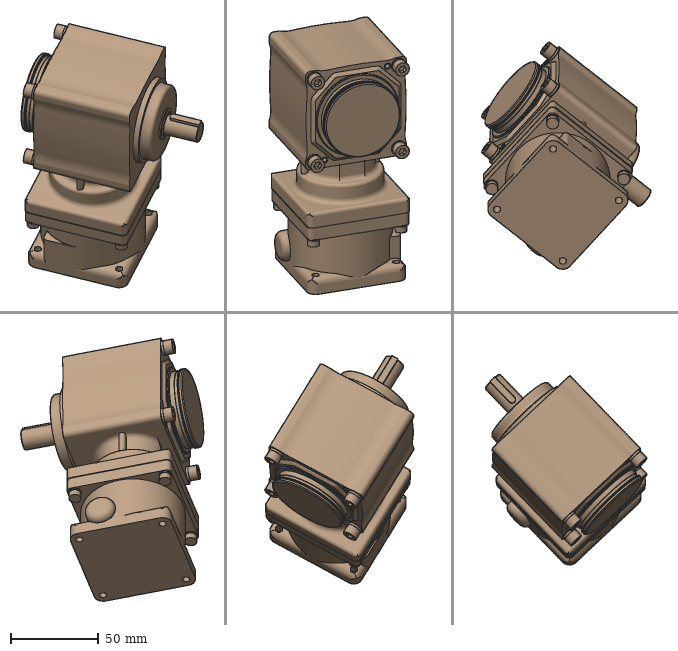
import cadquery as cq
import math


BASE_SIDE = 60.0
BASE_TOP = 10.0
BASE_CORNER_R = 5.4
BASE_EDGE_R = 4.2
BARREL_R = BASE_SIDE / 2
ADAPTER_FLANGE_SIDE = 62.0
ADAPTER_FLANGE_BOTTOM = 35.0
FLANGE_JOINT_Z = 42.8
FLANGE_CORNER_R = 3.0
MOTOR_HOLE_D = 4.0
MOTOR_HOLE_PITCH = 49.5
FLANGE_SCREW_R = 3.5
FLANGE_SCREW_PITCH = 53.7
FLANGE_SCREW_LENGTH = 4.7
FLANGE_WASHER_R = 3.6
FLANGE_WASHER_T = 1.0
PAD_LEFT_X = -19.9
PAD_RIGHT_X = 0.0
PAD_TOP = 23.8
PAD_CORNER_R = 2.1
PLUG_X = 10.7
PLUG_Z = 14.0
PLUG_R = 8.9
PLUG_EDGE_R = 3.9
PLUG_END_Y = 34.0

GEAR_FLANGE_X = ADAPTER_FLANGE_SIDE
GEAR_FLANGE_Y = 62.8
GEAR_FLANGE_TOP = 51.7
GEAR_FLANGE_EDGE_R = 2.0
RING_R = 25.0
RING_TOP = 63.4
RING_FOOT_R = 3.0
RING_EDGE_R = 2.0
NECK_R = 20.2
NECK_FILLET_R = RING_R - RING_EDGE_R - NECK_R
NECK_FLAT_X = -18.6
RIB_R = 2.0
RIB_REACH = 23.9

HOUSING_HALF = 31.0
TOTAL_HEIGHT = 139.0
SHAFT_Z = TOTAL_HEIGHT - HOUSING_HALF
HOUSING_LEFT_X = -25.2
HOUSING_RIGHT_X = 33.1
END_PLATE_T = 6.3
CASE_LEFT_X = HOUSING_LEFT_X + END_PLATE_T
HOUSING_CORNER_R = 2.9
RIDGE_START = 25.2
RIDGE_END = 23.6
RIDGE_END_DROP = 0.3
HOLLOW_MID = 19.5
HOLLOW_DROP = 1.0
TOP_HOLLOW_MID = 20.8
TOP_HOLLOW_END = 17.8
BULGE_START = 15.8
BULGE_START_DROP = 0.8
BULGE_DROP = 0.3
BOTTOM_TURN = 0
TOP_TURN = 2
NECK_EMBED = 4.2
NECK_EMBED_Z = SHAFT_Z - HOUSING_HALF + NECK_EMBED

OCTAGON_SIDE = 55.3
OCTAGON_CUT = 13.6
OCTAGON_CORNER_R = 4.2
OCTAGON_T = 2.0
OCTAGON_SLOPE = 2.1
COVER_LEFT_X = -35.9
COVER_RIM_R = 23.1
COVER_GROOVE_R = 22.5
COVER_NECK_R = 22.0
COVER_CHAMFER = 0.7
COVER_RIM_T = 2.1
COVER_LIP_T = 0.4
COVER_NECK_T = 2.0
COVER_DISC_R = 25.5
COVER_DISC_CHAMFER = 0.5
COVER_DISC_X = -28.1
HOUSING_SCREW_PITCH = 52.0
HOUSING_SCREW_R = 4.2
HOUSING_SCREW_X = -31.7
HOUSING_WASHER_R = 4.3
HOUSING_WASHER_T = 1.4
SOCKET_FLATS = 4.0
SOCKET_DEPTH = 2.8
PIN_HOLE_R = 1.4
PIN_HOLE_MOUTH = 0.5
PIN_HOLE_DEPTH = 4.2
PIN_HOLE_Y = 19.3
PIN_HOLE_Z = 26.4

PILOT_R = 25.0
PILOT_END_X = 36.4
NOSE_ROOT_R = 22.8
NOSE_R = 22.4
NOSE_TAPER_X = 38.2
NOSE_END_X = 43.4
NOSE_EDGE_R = 2.0
SEAL_R = 9.2
SEAL_END_X = 44.2
COLLAR_R = 7.2
COLLAR_END_X = 45.0
SHAFT_R = 6.0
SHAFT_END_X = 65.2
SHAFT_CHAMFER = 0.4
KEY_WIDTH = 4.0
KEY_START_X = 46.8
KEY_TOP = 7.5


def rounded_plate(x_size, y_size, bottom, top, corner_r, edge_r):
    """Plate with rounded top edges, trimmed by rounded vertical corners."""
    block = cq.Workplane("XY", origin=(0, 0, bottom)).box(
        x_size, y_size, top - bottom, centered=(True, True, False))
    rounded_corners = block.edges("|Z").fillet(corner_r)
    return block.faces(">Z").edges().fillet(edge_r).intersect(rounded_corners)


def cylinder_z(x, y, radius, bottom, top):
    return cq.Workplane("XY", origin=(x, y, bottom)).circle(radius).extrude(top - bottom)


def cylinder_x(y, z, radius, left, right):
    return cq.Workplane("YZ", origin=(left, y, z)).circle(radius).extrude(right - left)


def square_pattern(pitch):
    half = pitch / 2
    return [(sx * half, sy * half) for sx in (-1, 1) for sy in (-1, 1)]


def arc_mid(center_x, center_y, radius, angle):
    """Point on a circle at the given angle in degrees."""
    a = math.radians(angle)
    return (center_x + radius * math.cos(a), center_y + radius * math.sin(a))



def connector_pad():
    """Raised pad on the -Y side, level with the base side."""
    pad = cq.Workplane("XY").box(
        PAD_RIGHT_X - PAD_LEFT_X, BASE_SIDE / 2, PAD_TOP, centered=False)
    pad = pad.translate((PAD_LEFT_X, -BASE_SIDE / 2, 0))
    return pad.edges("|Z and <X and <Y").fillet(PAD_CORNER_R)


def cable_plug():
    """Domed round plug on the +Y side."""
    plug = cq.Workplane("XZ", origin=(PLUG_X, PLUG_END_Y, PLUG_Z)).circle(PLUG_R).extrude(PLUG_END_Y)
    return plug.faces(">Y").edges().fillet(PLUG_EDGE_R)


def make_adapter():
    body = rounded_plate(BASE_SIDE, BASE_SIDE, 0, BASE_TOP, BASE_CORNER_R, BASE_EDGE_R)
    for x, y in square_pattern(MOTOR_HOLE_PITCH):
        body = body.cut(cylinder_z(x, y, MOTOR_HOLE_D / 2, 0, BASE_TOP))
    body = body.union(cylinder_z(0, 0, BARREL_R, 0, ADAPTER_FLANGE_BOTTOM))
    body = body.union(connector_pad()).union(cable_plug())

    flange = cq.Workplane("XY", origin=(0, 0, ADAPTER_FLANGE_BOTTOM)).box(
        ADAPTER_FLANGE_SIDE, ADAPTER_FLANGE_SIDE, FLANGE_JOINT_Z - ADAPTER_FLANGE_BOTTOM,
        centered=(True, True, False))
    body = body.union(flange.edges("|Z").fillet(FLANGE_CORNER_R))

    washer_bottom = ADAPTER_FLANGE_BOTTOM - FLANGE_WASHER_T
    screw_bottom = ADAPTER_FLANGE_BOTTOM - FLANGE_SCREW_LENGTH
    for x, y in square_pattern(FLANGE_SCREW_PITCH):
        body = body.union(cylinder_z(x, y, FLANGE_WASHER_R, washer_bottom, ADAPTER_FLANGE_BOTTOM))
        body = body.union(cylinder_z(x, y, FLANGE_SCREW_R, screw_bottom, washer_bottom))
    return body



def neck():
    """Turned ring and neck with a flat on the -X side and three ribs."""
    foot_center = (RING_R + RING_FOOT_R, GEAR_FLANGE_TOP + RING_FOOT_R)
    edge_center = (RING_R - RING_EDGE_R, RING_TOP - RING_EDGE_R)
    low_center = (NECK_R + NECK_FILLET_R, RING_TOP + NECK_FILLET_R)
    housing_bottom = SHAFT_Z - HOUSING_HALF
    high_center = (NECK_R + NECK_FILLET_R, housing_bottom - NECK_FILLET_R)
    turned = (
        cq.Workplane("XZ")
        .moveTo(0, GEAR_FLANGE_TOP)
        .lineTo(foot_center[0], GEAR_FLANGE_TOP)
        .threePointArc(arc_mid(*foot_center, RING_FOOT_R, 225), (RING_R, foot_center[1]))
        .lineTo(RING_R, edge_center[1])
        .threePointArc(arc_mid(*edge_center, RING_EDGE_R, 45), (edge_center[0], RING_TOP))
        .threePointArc(arc_mid(*low_center, NECK_FILLET_R, 225), (NECK_R, low_center[1]))
        .lineTo(NECK_R, high_center[1])
        .threePointArc(arc_mid(*high_center, NECK_FILLET_R, 135), (high_center[0], housing_bottom))
        .lineTo(high_center[0], NECK_EMBED_Z)
        .lineTo(0, NECK_EMBED_Z)
        .close()
        .revolve(360, (0, 0, 0), (0, 1, 0))
    )

    flat_center = (NECK_FLAT_X - NECK_FILLET_R, RING_TOP + NECK_FILLET_R)
    flat_cut = (
        cq.Workplane("XZ")
        .moveTo(NECK_FLAT_X, NECK_EMBED_Z)
        .lineTo(NECK_FLAT_X, flat_center[1])
        .threePointArc(arc_mid(*flat_center, NECK_FILLET_R, -45), (flat_center[0], RING_TOP))
        .lineTo(-RING_R, RING_TOP)
        .lineTo(-RING_R, NECK_EMBED_Z)
        .close()
        .extrude(RING_R, both=True)
    )
    turned = turned.cut(flat_cut)

    rib_center = RIB_REACH - RIB_R
    rib_bottom = RING_TOP - RING_EDGE_R
    rib = cylinder_z(rib_center, 0, RIB_R, rib_bottom, NECK_EMBED_Z)
    web = cq.Workplane("XY", origin=(0, 0, rib_bottom)).box(
        rib_center, 2 * RIB_R, NECK_EMBED_Z - rib_bottom, centered=(False, True, False))
    rib = rib.union(web)
    for angle in (-90, 0, 90):
        turned = turned.union(rib.rotate((0, 0, 0), (0, 0, 1), angle))
    return turned


def side_point(turn, along, drop):
    """Point on one housing side: distance along the side and drop below its corner ridges."""
    angle = math.radians(90 * turn)
    out = HOUSING_HALF - drop
    return (along * math.cos(angle) + out * math.sin(angle),
            along * math.sin(angle) - out * math.cos(angle))


def curved_side(outline, turn):
    """Ridge, hollow, middle bulge, hollow and ridge along one side of the housing."""
    def at(along, drop):
        return side_point(turn, along, drop)

    ridge_mid = (RIDGE_START + RIDGE_END) / 2
    ridge_mid_drop = RIDGE_END_DROP / 4
    has_strip = turn == TOP_TURN
    hollow_mid = TOP_HOLLOW_MID if has_strip else HOLLOW_MID
    hollow_end = TOP_HOLLOW_END if has_strip else BULGE_START
    hollow_end_drop = HOLLOW_DROP if has_strip else BULGE_START_DROP
    hollow_mid_drop = BULGE_START_DROP if has_strip else HOLLOW_DROP

    outline = (
        outline.lineTo(*at(-RIDGE_START, 0))
        .threePointArc(at(-ridge_mid, ridge_mid_drop), at(-RIDGE_END, RIDGE_END_DROP))
        .threePointArc(at(-hollow_mid, hollow_mid_drop), at(-hollow_end, hollow_end_drop))
    )
    if has_strip:
        outline = outline.lineTo(*at(-BULGE_START, BULGE_START_DROP))
    outline = outline.threePointArc(at(0, BULGE_DROP), at(BULGE_START, BULGE_START_DROP))
    if has_strip:
        outline = outline.lineTo(*at(hollow_end, hollow_end_drop))
    return (
        outline.threePointArc(at(hollow_mid, hollow_mid_drop), at(RIDGE_END, RIDGE_END_DROP))
        .threePointArc(at(ridge_mid, ridge_mid_drop), at(RIDGE_START, 0))
    )


def housing_slice(left, right):
    """Length of the housing section: three curved sides, a flat bottom and round corners."""
    flat_end = HOUSING_HALF - HOUSING_CORNER_R
    corner_drop = HOUSING_CORNER_R * (1 - math.sqrt(0.5))
    outline = cq.Workplane("YZ", origin=(left, 0, SHAFT_Z)).moveTo(-flat_end, -HOUSING_HALF)
    for turn in range(4):
        if turn != BOTTOM_TURN:
            outline = curved_side(outline, turn)
        outline = outline.lineTo(*side_point(turn, flat_end, 0))
        outline = outline.threePointArc(
            side_point(turn, HOUSING_HALF - corner_drop, corner_drop),
            side_point(turn, HOUSING_HALF, HOUSING_CORNER_R))
    return outline.close().extrude(right - left)


def octagon_pad():
    """Octagonal pad with sloped sides on the -X face."""
    left = HOUSING_LEFT_X - OCTAGON_T
    pad = cq.Workplane("YZ", origin=(left, 0, SHAFT_Z)).rect(OCTAGON_SIDE, OCTAGON_SIDE)
    pad = pad.extrude(2 * OCTAGON_T)
    pad = pad.edges("|X").chamfer(OCTAGON_CUT)
    pad = pad.edges("|X").fillet(OCTAGON_CORNER_R)
    return pad.faces("<X").edges().chamfer(OCTAGON_T, OCTAGON_SLOPE)


def turned_about_shaft(points):
    """Revolve (x, radius) points about the shaft axis."""
    return (
        cq.Workplane("XZ", origin=(0, 0, SHAFT_Z))
        .polyline(points).close()
        .revolve(360, (0, 0, 0), (1, 0, 0))
    )


def cover():
    """Turned cover with a grooved rim and a wide disc behind it."""
    rim_end = COVER_LEFT_X + COVER_RIM_T
    groove_end = rim_end + COVER_LIP_T
    lip_end = groove_end + COVER_LIP_T
    step_x = lip_end + COVER_NECK_T
    return turned_about_shaft([
        (COVER_LEFT_X, 0),
        (COVER_LEFT_X, COVER_RIM_R - COVER_CHAMFER),
        (COVER_LEFT_X + COVER_CHAMFER, COVER_RIM_R),
        (rim_end, COVER_RIM_R),
        (rim_end, COVER_GROOVE_R),
        (groove_end, COVER_GROOVE_R),
        (groove_end, COVER_RIM_R),
        (lip_end, COVER_RIM_R),
        (lip_end, COVER_NECK_R),
        (step_x, COVER_NECK_R),
        (step_x, COVER_GROOVE_R),
        (COVER_DISC_X, COVER_GROOVE_R),
        (COVER_DISC_X, COVER_DISC_R - COVER_DISC_CHAMFER),
        (COVER_DISC_X + COVER_DISC_CHAMFER, COVER_DISC_R),
        (HOUSING_LEFT_X, COVER_DISC_R),
        (HOUSING_LEFT_X, 0),
    ])


def output_side():
    """Pilot, rounded nose, seal, collar and shaft on the +X face."""
    pilot = cylinder_x(0, SHAFT_Z, PILOT_R, HOUSING_RIGHT_X, PILOT_END_X)
    nose = turned_about_shaft([
        (PILOT_END_X, 0),
        (PILOT_END_X, NOSE_ROOT_R),
        (NOSE_TAPER_X, NOSE_R),
        (NOSE_END_X, NOSE_R),
        (NOSE_END_X, 0),
    ])
    nose = nose.faces(">X").edges().fillet(NOSE_EDGE_R)
    seal = cylinder_x(0, SHAFT_Z, SEAL_R, NOSE_END_X, SEAL_END_X)
    collar = cylinder_x(0, SHAFT_Z, COLLAR_R, SEAL_END_X, COLLAR_END_X)
    shaft = cylinder_x(0, SHAFT_Z, SHAFT_R, COLLAR_END_X, SHAFT_END_X)
    shaft = shaft.faces(">X").edges().chamfer(SHAFT_CHAMFER)

    key_half = KEY_WIDTH / 2
    key_bar_x = KEY_START_X + key_half
    key = (
        cq.Workplane("XY", origin=(0, 0, SHAFT_Z))
        .moveTo(SHAFT_END_X, -key_half)
        .lineTo(SHAFT_END_X, key_half)
        .lineTo(key_bar_x, key_half)
        .threePointArc((KEY_START_X, 0), (key_bar_x, -key_half))
        .close()
        .extrude(KEY_TOP)
    )
    return pilot.union(nose).union(seal).union(collar).union(shaft).union(key)


def housing_screw(y, z):
    """Socket-head screw on a washer, on the -X face."""
    washer_x = HOUSING_LEFT_X - HOUSING_WASHER_T
    head = cylinder_x(y, z, HOUSING_SCREW_R, HOUSING_SCREW_X, washer_x)
    washer = cylinder_x(y, z, HOUSING_WASHER_R, washer_x, HOUSING_LEFT_X)
    socket = (
        cq.Workplane("YZ", origin=(HOUSING_SCREW_X, y, z))
        .polygon(6, SOCKET_FLATS / math.cos(math.pi / 6))
        .extrude(SOCKET_DEPTH)
    )
    return head.union(washer).cut(socket)


def pin_hole(y, z):
    """Blind hole with a countersunk mouth in the -X face; y and z are measured from the shaft axis."""
    mouth_r = PIN_HOLE_R + PIN_HOLE_MOUTH
    start_x = HOUSING_LEFT_X - OCTAGON_T
    profile = [
        (start_x, 0),
        (start_x, mouth_r),
        (HOUSING_LEFT_X, mouth_r),
        (HOUSING_LEFT_X + PIN_HOLE_MOUTH, PIN_HOLE_R),
        (HOUSING_LEFT_X + PIN_HOLE_DEPTH, PIN_HOLE_R),
        (HOUSING_LEFT_X + PIN_HOLE_DEPTH, 0),
    ]
    return turned_about_shaft(profile).translate((0, y, z))


def end_plate():
    """Plate on the -X end with its pad, cover, screws and small holes."""
    plate = housing_slice(HOUSING_LEFT_X, CASE_LEFT_X).union(octagon_pad())
    for side in (-1, 1):
        plate = plate.cut(pin_hole(-side * PIN_HOLE_Y, side * PIN_HOLE_Z))
    plate = plate.union(cover())
    for y, z in square_pattern(HOUSING_SCREW_PITCH):
        plate = plate.union(housing_screw(y, SHAFT_Z + z))
    return plate


def make_gearhead():
    body = rounded_plate(GEAR_FLANGE_X, GEAR_FLANGE_Y, FLANGE_JOINT_Z, GEAR_FLANGE_TOP,
                         FLANGE_CORNER_R, GEAR_FLANGE_EDGE_R)
    body = body.union(neck()).union(housing_slice(CASE_LEFT_X, HOUSING_RIGHT_X)).union(output_side())
    return body.union(end_plate(), clean=False)


adapter = make_adapter()
gearhead = make_gearhead()
result = cq.Compound.makeCompound([adapter.val(), gearhead.val()])